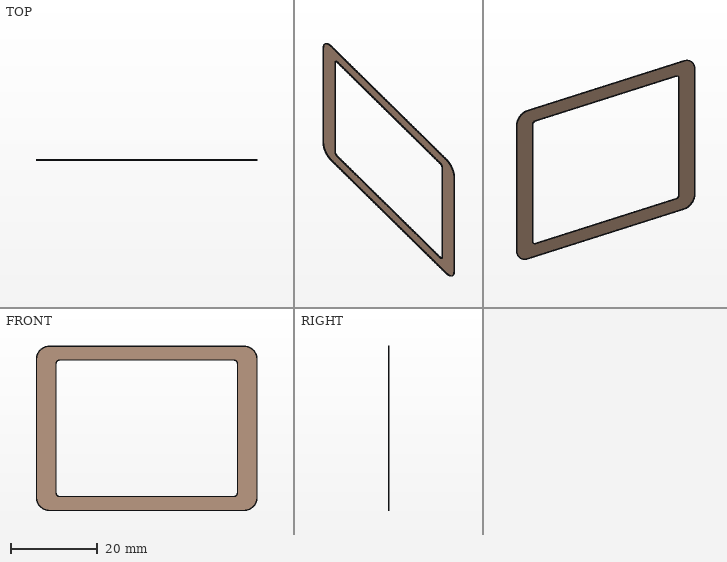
import cadquery as cq

frame_width = 51.0
frame_height = 38.0
thickness = 0.2
corner_radius = 3.05

side_border = 4.6
end_border = 3.25
window_radius = 0.75


def rounded_plate(width, height, radius):
    """Plate of the frame's thickness, centred, with rounded corners."""
    return cq.Workplane("XY").box(width, thickness, height).edges("|Y").fillet(radius)


outer_plate = rounded_plate(frame_width, frame_height, corner_radius)
window = rounded_plate(
    frame_width - 2 * side_border,
    frame_height - 2 * end_border,
    window_radius,
)

result = outer_plate.cut(window)